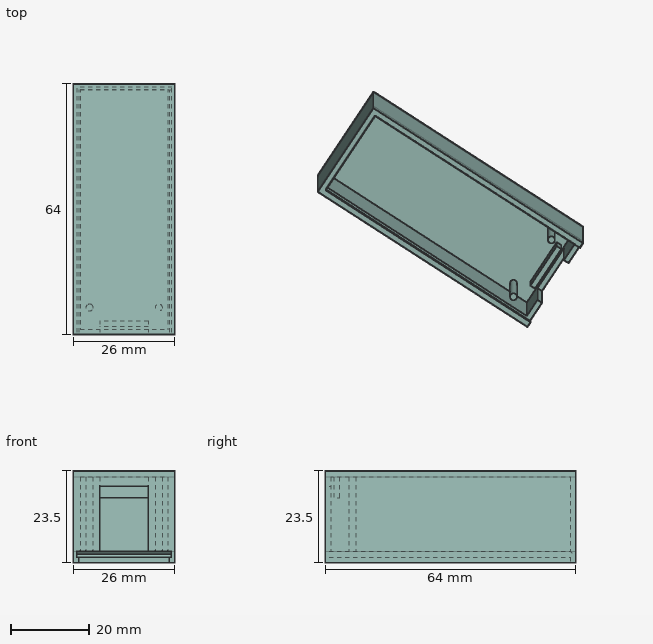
import cadquery as cq

width = 26.0
length = 64.0
height = 23.5

roof_thickness = 1.5
end_wall = 1.4
side_wall = 1.85

skirt_height = 3.0
rail_lip_height = 1.5
rail_wall = 0.95
rail_lip_wall = 1.5

door_width = 12.3
door_top = 19.6

rib_bottom = 16.6
rib_setback = 2.2
rib_thickness = end_wall

post_diameter = 1.8
post_spacing = 17.65
post_setback = 7.0

front = -length / 2
back = length / 2
roof_underside = height - roof_thickness


def block(size_x, y_start, y_end, z_start, z_end):
    """Box centred on X between the given Y planes and Z levels."""
    return cq.Workplane("XY").box(
        size_x, y_end - y_start, z_end - z_start, centered=(True, False, False)
    ).translate((0, y_start, z_start))


def make_skirt():
    """Two lipped side rails and a back wall with a V groove, open at the front."""
    back_face = back - rail_lip_wall
    slot_width = width - 2 * rail_wall
    lip_gap_width = width - 2 * rail_lip_wall
    groove_depth = (skirt_height - rail_lip_height) / 2

    skirt = block(width, front, back, 0, skirt_height)
    lip_gap = block(lip_gap_width, front, back_face, 0, skirt_height)
    slot = block(slot_width, front, back_face, rail_lip_height, skirt_height)
    groove = (
        cq.Workplane("YZ")
        .moveTo(back_face, rail_lip_height)
        .lineTo(back_face + groove_depth, rail_lip_height + groove_depth)
        .lineTo(back_face, skirt_height)
        .close()
        .extrude(slot_width / 2, both=True)
    )
    return skirt.cut(lip_gap).cut(slot).cut(groove)


def make_walls():
    """Rectangular tube of walls with the doorway cut through the front one."""
    walls = block(width, front, back, skirt_height, roof_underside)
    cavity = block(
        width - 2 * side_wall, front + end_wall, back - end_wall, skirt_height, roof_underside
    )
    doorway = block(door_width, front, front + end_wall, skirt_height, door_top)
    return walls.cut(cavity).cut(doorway)


def make_posts():
    """Pair of round posts reaching from the roof to the bottom of the walls."""
    return (
        cq.Workplane("XY", origin=(0, front + post_setback, skirt_height))
        .rarray(post_spacing, 0.65, 2, 1)
        .circle(post_diameter / 2)
        .extrude(roof_underside - skirt_height)
    )


def make_rib():
    """Rib as wide as the doorway, hanging from the roof just behind it."""
    rib_front = front + rib_setback
    return block(door_width, rib_front, rib_front + rib_thickness, rib_bottom, roof_underside)


roof = block(width, front, back, roof_underside, height)

result = make_skirt()
for piece in (make_walls(), roof, make_rib(), make_posts()):
    result = result.union(piece, clean=False)